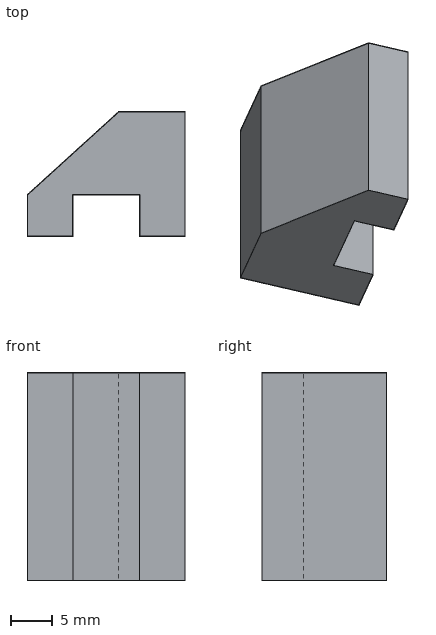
import cadquery as cq

width = 19.0
depth = 15.0
height = 25.0

channel_width = 8.0
channel_depth = 5.0

slope_run_x = 11.0
slope_start_y = 5.0


def make_body():
    """Block with its rear left corner cut off by a sloped face."""
    return (
        cq.Workplane("XY")
        .moveTo(0, 0)
        .lineTo(width, 0)
        .lineTo(width, depth)
        .lineTo(slope_run_x, depth)
        .lineTo(0, slope_start_y)
        .close()
        .extrude(height)
    )


def make_channel():
    """Rectangular channel running the full height of the block."""
    wall = (width - channel_width) / 2
    return (
        cq.Workplane("XY")
        .box(channel_width, channel_depth, height, centered=False)
        .translate((wall, 0, 0))
    )


result = make_body().cut(make_channel())